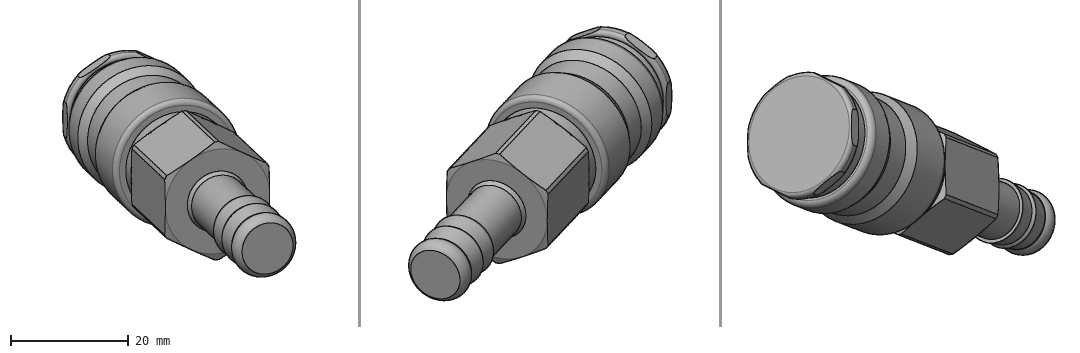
import cadquery as cq
import math


flange_length = 2.5
flange_dia = 22.0
flange_rounding = 0.8
flats_across = 21.0
flat_count = 6

neck_dia = 20.1
journal_dia = 18.95

sleeve_start = 5.15
sleeve_end = 28.75
sleeve_dia = 23.15
waist_dia = 21.0
waist_start = 12.5
waist_end = 17.35
waist_cone_length = 2.0
sleeve_front_rounding = 1.1
sleeve_rear_rounding = 0.95

hex_start = 31.45
hex_end = 48.5
hex_across_flats = journal_dia
hex_across_corners = 21.45
hex_chamfer_angle = 15.0

stem_dia = 10.1
collar_dia = 10.95
collar_length = 0.9
barb_dia = 11.3
first_barb_start = 62.0
first_barb_land = 0.2
first_barb_end = 65.6
first_barb_end_dia = 10.45
second_barb_top = 66.2
second_barb_land = 0.15
bead_start = 70.05
bead_start_dia = 10.3
bead_dia = 11.4
bead_crest = 71.6
total_length = 73.5
tip_dia = 9.25


def cylinder(diameter, start, end):
    """Solid cylinder along X between two stations."""
    return cq.Workplane("YZ", origin=(start, 0, 0)).circle(diameter / 2).extrude(end - start)


def hexagon(across_flats, start, end):
    """Hexagonal prism along X with two of its flats facing -Y and +Y."""
    corner_dia = across_flats / math.cos(math.pi / flat_count)
    return (
        cq.Workplane("YZ", origin=(start, 0, 0))
        .transformed(rotate=(0, 0, 90))
        .polygon(flat_count, corner_dia)
        .extrude(end - start)
    )


def spin(profile):
    """Revolve a closed profile of (station, radius) about the X axis."""
    return profile.close().revolve(360, (0, 0, 0), (1, 0, 0))


def make_flange():
    """Rounded disc cut by six flats."""
    disc = cylinder(flange_dia, 0, flange_length).edges().fillet(flange_rounding)
    return disc.intersect(hexagon(flats_across, 0, flange_length))


def make_hex():
    """Hexagon with turned corners and a shallow turned chamfer at both ends."""
    face_radius = hex_across_flats / 2
    corner_radius = hex_across_corners / 2
    chamfer_length = (corner_radius - face_radius) * math.tan(math.radians(hex_chamfer_angle))
    turned_blank = spin(
        cq.Workplane("XY")
        .moveTo(hex_start, 0)
        .lineTo(hex_start, face_radius)
        .lineTo(hex_start + chamfer_length, corner_radius)
        .lineTo(hex_end - chamfer_length, corner_radius)
        .lineTo(hex_end, face_radius)
        .lineTo(hex_end, 0)
    )
    return hexagon(hex_across_flats, hex_start, hex_end).intersect(turned_blank)


def make_stem():
    """Hose stem with a conical collar, two barbs and a rounded bead at the tip."""
    stem_radius = stem_dia / 2
    barb_radius = barb_dia / 2
    return spin(
        cq.Workplane("XY")
        .moveTo(hex_end, 0)
        .lineTo(hex_end, collar_dia / 2)
        .lineTo(hex_end + collar_length, stem_radius)
        .lineTo(first_barb_start, stem_radius)
        .lineTo(first_barb_start, barb_radius)
        .lineTo(first_barb_start + first_barb_land, barb_radius)
        .lineTo(first_barb_end, first_barb_end_dia / 2)
        .lineTo(second_barb_top, barb_radius)
        .lineTo(second_barb_top + second_barb_land, barb_radius)
        .lineTo(bead_start, stem_radius)
        .lineTo(bead_start, bead_start_dia / 2)
        .threePointArc((bead_crest, bead_dia / 2), (total_length, tip_dia / 2))
        .lineTo(total_length, 0)
    )


def make_core():
    """Coupling body: flange, neck, sleeve journal, hexagon and hose stem in one piece."""
    neck = cylinder(neck_dia, flange_length, sleeve_start)
    journal = cylinder(journal_dia, sleeve_start, hex_start)
    return make_flange().union(neck).union(journal).union(make_hex()).union(make_stem())


def make_sleeve():
    """Sliding sleeve with a waist between two cones, bored to fit the journal."""
    outer_radius = sleeve_dia / 2
    waist_radius = waist_dia / 2
    bore_radius = journal_dia / 2
    sleeve = spin(
        cq.Workplane("XY")
        .moveTo(sleeve_start, bore_radius)
        .lineTo(sleeve_start, outer_radius)
        .lineTo(waist_start - waist_cone_length, outer_radius)
        .lineTo(waist_start, waist_radius)
        .lineTo(waist_end, waist_radius)
        .lineTo(waist_end + waist_cone_length, outer_radius)
        .lineTo(sleeve_end, outer_radius)
        .lineTo(sleeve_end, bore_radius)
    )
    outer_rims = cq.selectors.RadiusNthSelector(-1)
    sleeve = sleeve.faces("<X").edges(outer_rims).fillet(sleeve_front_rounding)
    return sleeve.faces(">X").edges(outer_rims).fillet(sleeve_rear_rounding)


core = make_core()
sleeve = make_sleeve()

result = cq.Compound.makeCompound([core.val(), sleeve.val()])